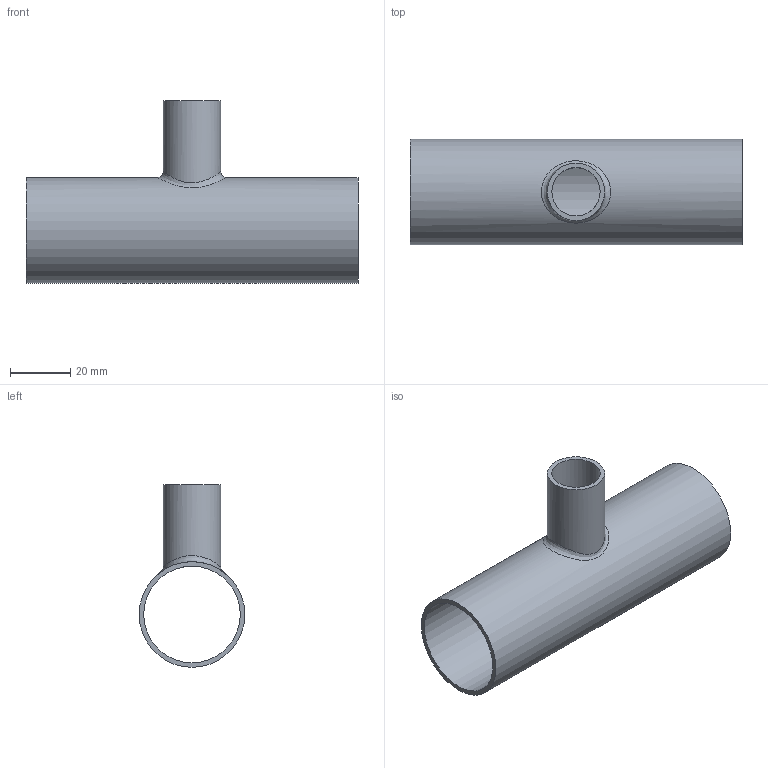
import cadquery as cq

pipe_length = 110.0
pipe_outer_diameter = 35.0
pipe_inner_diameter = 32.0

branch_outer_diameter = 19.0
branch_inner_diameter = 16.0
branch_top_height = 43.0

joint_fillet_radius = 2.0


def main_cylinder(diameter):
    """Cylinder of the main pipe's length, centred on the origin."""
    return cq.Workplane("YZ").circle(diameter / 2).extrude(pipe_length / 2, both=True)


def branch_cylinder(diameter):
    """Cylinder from the main pipe axis up to the branch's open end."""
    return cq.Workplane("XY").circle(diameter / 2).extrude(branch_top_height)


def outer_body():
    """Solid tee with its joint line filleted."""
    tee = main_cylinder(pipe_outer_diameter).union(branch_cylinder(branch_outer_diameter))
    joint_zone = cq.selectors.BoxSelector(
        (-branch_outer_diameter, -branch_outer_diameter, 0),
        (branch_outer_diameter, branch_outer_diameter, pipe_outer_diameter / 2),
    )
    joint_edges = tee.edges(joint_zone).edges("not %LINE")
    return joint_edges.fillet(joint_fillet_radius)


result = (
    outer_body()
    .cut(main_cylinder(pipe_inner_diameter))
    .cut(branch_cylinder(branch_inner_diameter))
)